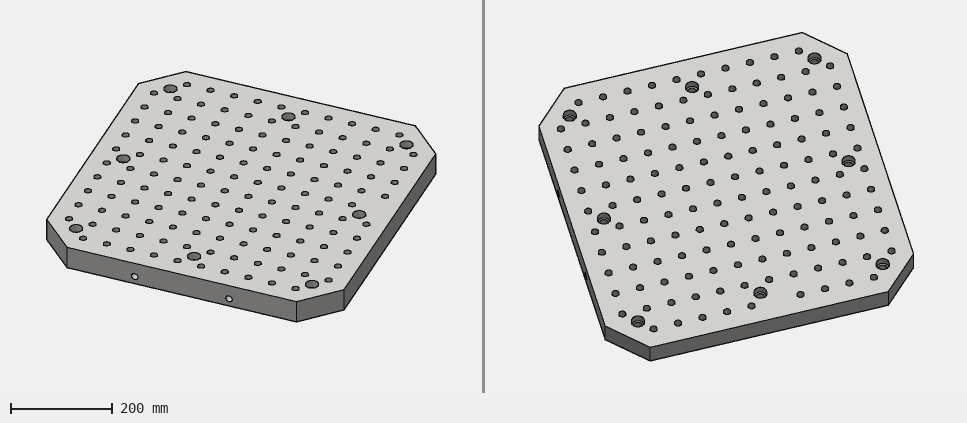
import cadquery as cq

side = 630.0
thickness = 50.0
corner_cut = 72.0

grid_count = 12
grid_span = 550.0
grid_diameter = 14.0
last = grid_count - 1
grid_pitch = grid_span / last

corner_places = [(0, 0), (0, last), (last, 0), (last, last)]
empty_places = corner_places + [(last, grid_count // 2)]

mount_offset = 5 * grid_pitch
mount_diameter = 18.0
counterbore_diameter = 26.0
counterbore_depth = 17.5

side_hole_offset = 2 * grid_pitch
side_hole_height = 17.5
side_hole_diameter = 14.0
side_hole_depth = 25.0
drill_point_depth = 4.0


def make_plate():
    plate = cq.Workplane("XY").rect(side, side).extrude(thickness)
    return plate.edges("|Z").chamfer(corner_cut)


def grid_points():
    return [
        (column * grid_pitch - grid_span / 2, row * grid_pitch - grid_span / 2)
        for column in range(grid_count)
        for row in range(grid_count)
        if (column, row) not in empty_places
    ]


def mount_points():
    steps = (-mount_offset, 0, mount_offset)
    return [(x, y) for x in steps for y in steps if (x, y) != (0, 0)]


def top_face(body):
    """Workplane on the top face, centred on the Z axis."""
    return body.faces(">Z").workplane(origin=(0, 0, 0))


def side_drill(x):
    """Round drill shape with a conical tip, entering from the -Y side."""
    radius = side_hole_diameter / 2
    profile = (
        cq.Workplane("XY", origin=(x, -side / 2, side_hole_height))
        .lineTo(radius, 0)
        .lineTo(radius, side_hole_depth)
        .lineTo(0, side_hole_depth + drill_point_depth)
        .close()
    )
    return profile.revolve(360, (0, 0), (0, 1))


plate = make_plate()
plate = top_face(plate).pushPoints(grid_points()).hole(grid_diameter)
plate = (
    top_face(plate)
    .pushPoints(mount_points())
    .cboreHole(mount_diameter, counterbore_diameter, counterbore_depth)
)
for x in (-side_hole_offset, side_hole_offset):
    plate = plate.cut(side_drill(x))

result = plate